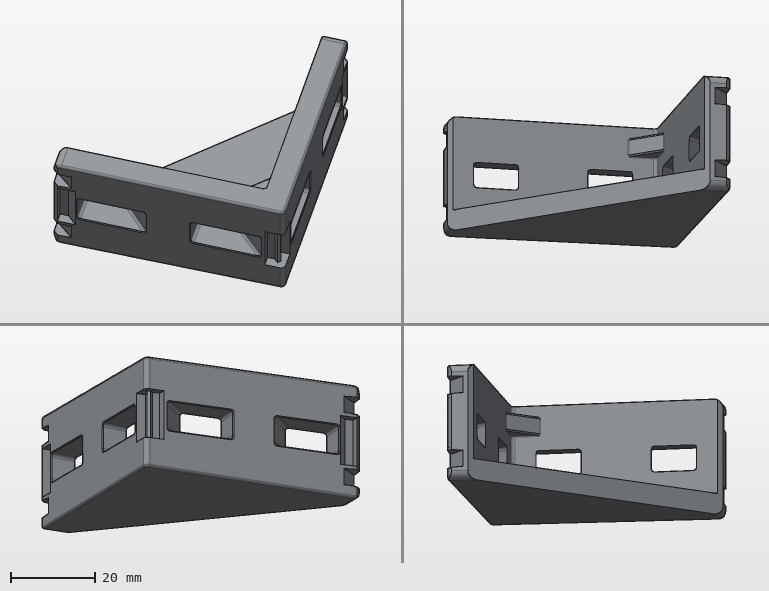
import cadquery as cq
import math

leg_length = 57.0
leg_thickness = 6.2
height = 28.0
mid_height = height / 2
tip_chamfer = 1.15

web_thickness = 5.1
web_draft = 1.0

tip_round = 2.0
corner_round = 1.15
edge_round = 0.55
inner_corner_round = 0.9
floor_round = 0.15

slot_inner_height = 6.2
slot_outer_height = 7.1
slot_corner_round = 0.85
slot_rim = 0.2
slot_inner_length = 10.9
slot_outer_lengths = (16.9, 17.25)
slot_outer_starts = (5.9, 33.85)
slot_inner_starts = (6.15, 34.0)

notch_length = 4.55
notch_depth = 3.95
notch_height = 3.95
notch_offset = 8.95
notch_taper = 5.0

recess_height = 12.0
recess_depth = 2.35
tip_recess_end = 5.6
corner_recess_length = 4.85
tongue_half_width = 0.6
tongue_gap = 1.5

gusset_leg = 6.95
gusset_height = 4.45
gusset_middle = 22.95
gusset_bevel_height = 0.4
gusset_bevel_depth = 0.2
gusset_wall_round = 0.15

tip_offset = leg_thickness - tip_chamfer


def space_above_web_face(level):
    """Space above a drafted plane that passes the sloping side at the given level."""
    draft = math.radians(web_draft)
    slope = math.sin(draft) / math.sqrt(2)
    normal = (-slope, slope, math.cos(draft))
    middle = (-(leg_length + tip_offset) / 2, (leg_length + tip_offset) / 2, level)
    plane = cq.Plane(origin=middle, xDir=(1, 1, 0), normal=normal)
    return cq.Workplane(plane).rect(4 * leg_length, 4 * leg_length).extrude(2 * height)


def on_both_legs(cutter):
    """Pair a cutter of the X leg with its twin on the Y leg."""
    twin = cutter.rotate((0, 0, mid_height), (0.55, -0.55, mid_height), 180)
    return cutter.union(twin)


def prism(points, bottom, rise):
    """Upright prism on a horizontal outline."""
    return cq.Workplane("XY").workplane(offset=bottom).polyline(points).close().extrude(rise)


def make_block():
    """Rounded block trimmed to the legs, their chamfered tips and the sloping side."""
    block = cq.Workplane("XY").box(leg_length, leg_length, height, centered=False)
    block = block.translate((-leg_length, 0, 0)).intersect(space_above_web_face(0))
    block = block.edges("(<X or >Y) and (not |Z)").fillet(tip_round)
    block = block.edges("|Z and >X and <Y").fillet(corner_round)
    block = block.faces(">X or <Y").edges("not |Z").fillet(edge_round)
    outline = [
        (tip_chamfer - leg_length, 0),
        (0, 0),
        (0, leg_length - tip_chamfer),
        (-tip_chamfer, leg_length),
        (-tip_offset, leg_length),
        (-leg_length, tip_offset),
        (-leg_length, tip_chamfer),
    ]
    return block.intersect(prism(outline, 0, height))


def make_gusset():
    """Triangular bar in the inner corner with bevelled front edges."""
    wall = leg_thickness
    end = wall + gusset_leg
    triangle = [(-wall, wall), (-wall, end), (-end, wall)]
    bar = prism(triangle, gusset_middle - gusset_height / 2, gusset_height)
    front_edges = bar.faces("<(1, -1, 0)").edges("#Z")
    return front_edges.chamfer(gusset_bevel_height, gusset_bevel_depth)


def make_cavity():
    """Space inside the legs above the web, around the gusset."""
    wall = leg_thickness
    reach = 2 * leg_length
    cavity = prism([(-wall, wall), (-wall, reach), (-reach, wall)], 0, 2 * height)
    cavity = cavity.edges("|Z and >X and <Y").fillet(inner_corner_round)
    cavity = cavity.intersect(space_above_web_face(web_thickness))
    cavity = cavity.faces("<Z").edges().fillet(floor_round)
    cavity = cavity.cut(make_gusset())
    gusset_zone = cq.selectors.BoxSelector(
        (-reach, 0, gusset_middle - gusset_height),
        (0, reach, gusset_middle + gusset_height),
    )
    wall_joint = cavity.faces(">X or <Y").edges(gusset_zone).edges("not |(1, 1, 0)")
    return wall_joint.fillet(gusset_wall_round)


def slot_outline(start, length, outline_height, depth):
    """Rounded rectangle at a depth below the outer face of the X leg."""
    outline = cq.Sketch().rect(length, outline_height).vertices().fillet(slot_corner_round)
    return outline.moved(cq.Location(cq.Vector(start + length / 2 - leg_length, mid_height, -depth)))


def make_slot(outer_start, outer_length, inner_start):
    """Slot with one slanted end, narrowing inwards, with a bevelled rim."""
    mouth = slot_outline(outer_start, outer_length, slot_outer_height, slot_rim)
    inner = slot_outline(inner_start, slot_inner_length, slot_inner_height, leg_thickness)
    rim = slot_outline(
        outer_start - slot_rim,
        outer_length + 2 * slot_rim,
        slot_outer_height + 2 * slot_rim,
        0,
    )
    passage = cq.Workplane("XZ").placeSketch(mouth, inner).loft()
    bevel = cq.Workplane("XZ").placeSketch(rim, mouth).loft()
    return passage.union(bevel)


def make_tip_notch(level):
    """Slanted notch across the outer edge of the tip, widening outwards."""
    middle = (notch_length / 2 - leg_length, notch_depth / 2, level)
    width = 2 * math.hypot(notch_length, notch_depth)
    along = (notch_length, -notch_depth, 0)
    outward = (-notch_depth, -notch_length, 0)
    plane = cq.Plane(origin=middle, xDir=along, normal=outward)
    return cq.Workplane(plane).rect(width, notch_height).extrude(leg_thickness, taper=-notch_taper)


def make_tip_recess():
    """Recess near the tip with one slanted end."""
    points = [
        (tip_chamfer - leg_length, 0),
        (tip_chamfer - leg_length, recess_depth),
        (tip_recess_end - recess_depth - leg_length, recess_depth),
        (tip_recess_end - leg_length, 0),
    ]
    return prism(points, mid_height - recess_height / 2, recess_height)


def make_corner_recess():
    """Recess around the outer corner, leaving a tongue on the diagonal."""
    bottom = mid_height - recess_height / 2
    length = corner_recess_length
    depth = recess_depth
    leg_outline = [
        (-length, 0),
        (-length, depth),
        (-depth, depth),
        (0, 0),
    ]
    recess = on_both_legs(prism(leg_outline, bottom, recess_height))
    half = tongue_half_width
    tongue_outline = [
        (-depth - half, depth),
        (-tongue_gap - half, tongue_gap),
        (-tongue_gap, tongue_gap + half),
        (-depth, depth + half),
    ]
    tongue = prism(tongue_outline, bottom, recess_height)
    return recess.cut(tongue)


result = make_block().cut(make_cavity())
for starts in zip(slot_outer_starts, slot_outer_lengths, slot_inner_starts):
    result = result.cut(on_both_legs(make_slot(*starts)))
for offset in (-notch_offset, notch_offset):
    result = result.cut(on_both_legs(make_tip_notch(mid_height + offset)))
result = result.cut(on_both_legs(make_tip_recess()))
result = result.cut(make_corner_recess())